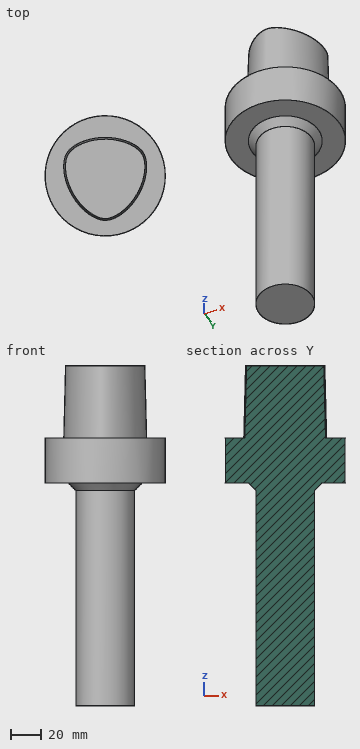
import cadquery as cq
import math

total_length = 226.0
taper_length = 48.0
collar_thickness = 30.0
neck_height = 5.0
shank_length = total_length - taper_length - collar_thickness

collar_radius = 80.0 / 2
shank_radius = 39.0 / 2
neck_radius = shank_radius + neck_height

base_width = 55.1
taper_ratio = 1 / 20
tip_width = base_width - taper_ratio * taper_length
lobe_height = 2.0
curve_points = 72


def lobed_point(width, angle):
    """Point of the lobed outline whose outward normal has the given angle."""
    reach = width / 2 + lobe_height * math.sin(3 * angle)
    shift = 3 * lobe_height * math.cos(3 * angle)
    x = reach * math.cos(angle) - shift * math.sin(angle)
    y = reach * math.sin(angle) + shift * math.cos(angle)
    return x, y


def lobed_outline(width):
    angles = [2 * math.pi * i / curve_points for i in range(curve_points)]
    return [lobed_point(width, angle) for angle in angles]


def make_taper():
    return (
        cq.Workplane("XY")
        .spline(lobed_outline(base_width), periodic=True, makeWire=True)
        .workplane(offset=taper_length)
        .spline(lobed_outline(tip_width), periodic=True, makeWire=True)
        .loft(ruled=True)
    )


def make_round_body():
    """Collar, conical neck and shank, turned about Z."""
    collar_bottom = -collar_thickness
    neck_bottom = collar_bottom - neck_height
    shank_bottom = collar_bottom - shank_length
    profile = [
        (0, 0),
        (collar_radius, 0),
        (collar_radius, collar_bottom),
        (neck_radius, collar_bottom),
        (shank_radius, neck_bottom),
        (shank_radius, shank_bottom),
        (0, shank_bottom),
    ]
    return cq.Workplane("XZ").polyline(profile).close().revolve(360, (0, 0, 0), (0, 1, 0))


result = make_round_body().union(make_taper())